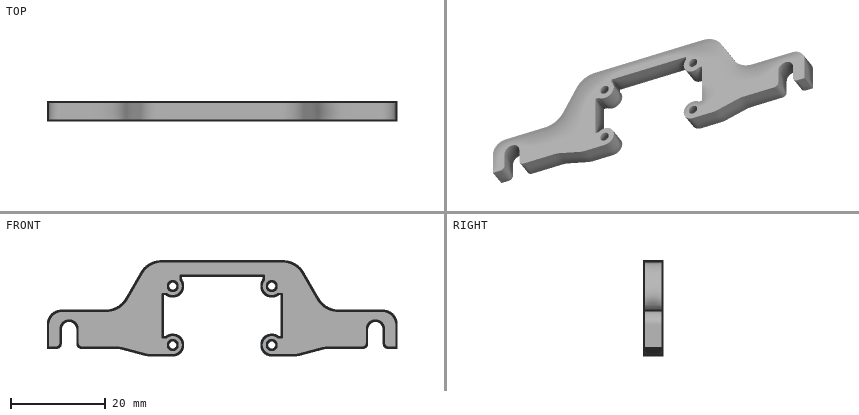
import cadquery as cq
import math

length = 74.0
height = 20.0
thickness = 4.0

hole_diameter = 2.0
boss_radius = 2.2
hole_spacing_x = 21.0
hole_spacing_z = 12.5
lower_hole_z = boss_radius
upper_hole_z = lower_hole_z + hole_spacing_z

arm_bottom_z = 1.6
arm_top_z = 9.5
arm_corner_radius = 3.0

bridge_half_width = 15.7
flank_angle = math.radians(60)
flank_radius = 5.0
flank_run = (height - arm_top_z) / math.tan(flank_angle)

foot_half_width = 15.8
foot_angle = math.radians(15)
foot_radius = 5.0
foot_run = arm_bottom_z / math.tan(foot_angle)

window_half_width = 12.6
window_top_z = 16.85
neck_half_width = 8.8
pad_reach = 1.7

slot_width = 3.5
slot_center_x = 32.5
slot_top_z = 7.35
slot_mouth_radius = 1.0


def extrude(sketch):
    """Extrude an XZ sketch through the thickness, centred on Y = 0."""
    return sketch.extrude(thickness / 2, both=True)


def round_edges(body, points, radius):
    """Fillet the through-thickness edges at the given XZ points and their mirror images."""
    for x, z in points:
        for side in (-1, 1):
            edge = cq.selectors.NearestToPointSelector((side * x, 0, z))
            body = body.edges("|Y").edges(edge).fillet(radius)
    return body


def make_plate():
    """Arms, bridge and feet as one plate with rounded outer corners."""
    half_outline = [
        (bridge_half_width, height),
        (bridge_half_width + flank_run, arm_top_z),
        (length / 2, arm_top_z),
        (length / 2, arm_bottom_z),
        (foot_half_width + foot_run, arm_bottom_z),
        (foot_half_width, 0),
    ]
    mirrored = [(-x, z) for x, z in reversed(half_outline)]
    plate = extrude(cq.Workplane("XZ").polyline(half_outline + mirrored).close())
    plate = round_edges(plate, half_outline[0:2], flank_radius)
    plate = round_edges(plate, half_outline[2:3], arm_corner_radius)
    return round_edges(plate, half_outline[4:6], foot_radius)


def box_between(half_width, bottom, top):
    """Block centred on X = 0 between two Z levels."""
    middle = (bottom + top) / 2
    return extrude(cq.Workplane("XZ").center(0, middle).rect(2 * half_width, top - bottom))


def cut_window(body):
    """Cut the stepped window; it is narrower beside the holes than between them."""
    neck = box_between(neck_half_width, upper_hole_z, window_top_z)
    between_holes = box_between(window_half_width, lower_hole_z + pad_reach, upper_hole_z - pad_reach)
    inner_width = box_between(hole_spacing_x / 2, 0, upper_hole_z)
    return body.cut(neck).cut(between_holes).cut(inner_width)


def add_bosses(body):
    """Add a round boss around each hole, then drill the holes."""
    bosses = cq.Workplane("XZ").rarray(hole_spacing_x, hole_spacing_z, 2, 2)
    center_z = (lower_hole_z + upper_hole_z) / 2
    bosses = extrude(bosses.circle(boss_radius)).translate((0, 0, center_z))
    holes = cq.Workplane("XZ").rarray(hole_spacing_x, hole_spacing_z, 2, 2)
    holes = extrude(holes.circle(hole_diameter / 2)).translate((0, 0, center_z))
    return body.union(bosses).cut(holes)


def cut_slots(body):
    """Cut a round-topped slot up into each arm and round its mouth."""
    slot_radius = slot_width / 2
    arc_z = slot_top_z - slot_radius
    for side in (-1, 1):
        center_x = side * slot_center_x
        slot = (
            cq.Workplane("XZ")
            .moveTo(center_x - slot_radius, arm_bottom_z)
            .lineTo(center_x - slot_radius, arc_z)
            .threePointArc((center_x, slot_top_z), (center_x + slot_radius, arc_z))
            .lineTo(center_x + slot_radius, arm_bottom_z)
            .close()
        )
        body = body.cut(extrude(slot))
    mouth = [(slot_center_x + offset, arm_bottom_z) for offset in (-slot_radius, slot_radius)]
    return round_edges(body, mouth, slot_mouth_radius)


result = cut_slots(add_bosses(cut_window(make_plate())))